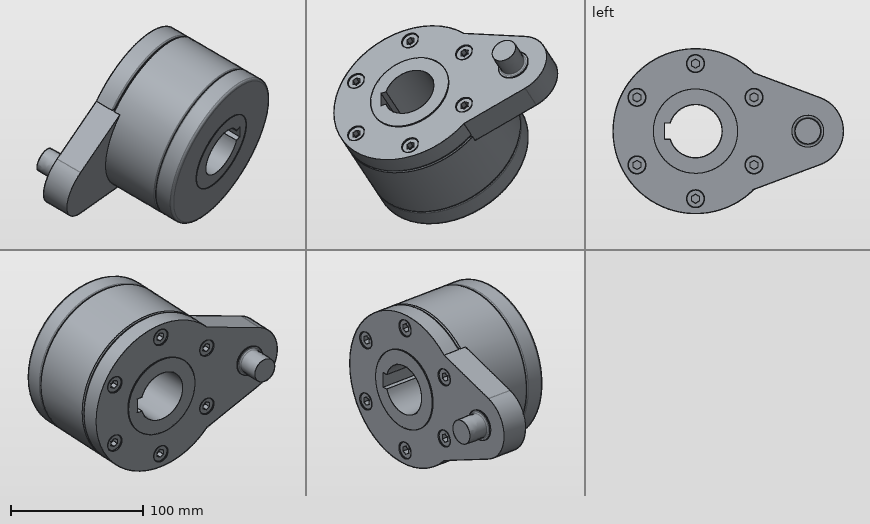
import cadquery as cq
import math


drum_radius = 62.5
drum_length = 84.5
rear_fillet = 2.0

front_groove_center = 15.7
front_groove_edge_radius = 1.31
rear_groove_center = 68.4
rear_groove_edge_radius = 1.0

hub_radius = 32.0
hub_front_height = 1.0
hub_rear_height = 0.5
hub_length = hub_front_height + drum_length + hub_rear_height

bore_radius = 20.0
keyway_width = 12.0
keyway_top = 23.4

overall_width = 174.5
arm_thickness = 22.0
arm_end_radius = 27.0
arm_reach = overall_width - drum_radius - arm_end_radius
arm_flank_angle = math.radians(20.5)

pin_middle_radius = 10.0
pin_end_radius = 9.6
pin_length = 19.0
collar_radius = 12.0
collar_height = 1.0
pin_root_fillet = 0.96

screw_count = 6
screw_circle_radius = 51.1
counterbore_radius = 6.8
counterbore_depth = 8.0
screw_head_radius = 6.5
screw_head_recess = 0.9
hex_across_flats = 6.0
hex_depth = 5.0


def disc(radius, x_start, length, y=0.0, z=0.0):
    """Solid cylinder along +X."""
    plane = cq.Workplane("YZ", origin=(x_start, y, z))
    return plane.circle(radius).extrude(length)


def joint_groove(center, edge_radius):
    """Ring cut where two rounded drum edges meet in a narrow cusp."""
    mid_offset = edge_radius * math.sqrt(0.5)
    root_radius = drum_radius - edge_radius
    return (
        cq.Workplane("XY")
        .moveTo(center - edge_radius, drum_radius)
        .threePointArc(
            (center - edge_radius + mid_offset, root_radius + mid_offset),
            (center, root_radius),
        )
        .threePointArc(
            (center + edge_radius - mid_offset, root_radius + mid_offset),
            (center + edge_radius, drum_radius),
        )
        .close()
        .revolve(360, (0, 0, 0), (1, 0, 0))
    )


def make_drum():
    drum = disc(drum_radius, 0, drum_length).faces(">X").edges().fillet(rear_fillet)
    drum = drum.cut(joint_groove(front_groove_center, front_groove_edge_radius))
    drum = drum.cut(joint_groove(rear_groove_center, rear_groove_edge_radius))
    return drum.union(disc(hub_radius, -hub_front_height, hub_length))


def make_arm():
    """Tapered arm toward -Y; its flanks are tangent to the rounded end."""
    normal_y = -math.sin(arm_flank_angle)
    normal_z = math.cos(arm_flank_angle)
    flank_distance = arm_end_radius + arm_reach * math.sin(arm_flank_angle)
    root_y = flank_distance * normal_y
    root_z = flank_distance * normal_z
    tangent_y = -arm_reach + arm_end_radius * normal_y
    tangent_z = arm_end_radius * normal_z
    tip_y = -arm_reach - arm_end_radius
    return (
        cq.Workplane("YZ")
        .moveTo(root_y, root_z)
        .lineTo(tangent_y, tangent_z)
        .threePointArc((tip_y, 0), (tangent_y, -tangent_z))
        .lineTo(root_y, -root_z)
        .close()
        .extrude(arm_thickness)
    )


def make_pin():
    """Crowned pin and collar, turned about the pin axis, with a rounded root."""
    fillet_end_x = -collar_height - pin_root_fillet
    fillet_outer_radius = pin_end_radius + pin_root_fillet
    crown_middle = ((fillet_end_x - pin_length) / 2, pin_middle_radius)
    mid_offset = pin_root_fillet * (1 - math.sqrt(0.5))
    fillet_middle = (-collar_height - mid_offset, pin_end_radius + mid_offset)
    return (
        cq.Workplane("XY", origin=(0, -arm_reach, 0))
        .moveTo(0, 0)
        .lineTo(-pin_length, 0)
        .lineTo(-pin_length, pin_end_radius)
        .threePointArc(crown_middle, (fillet_end_x, pin_end_radius))
        .threePointArc(fillet_middle, (-collar_height, fillet_outer_radius))
        .lineTo(-collar_height, collar_radius)
        .lineTo(0, collar_radius)
        .close()
        .revolve(360, (0, 0, 0), (1, 0, 0))
    )


def make_bore():
    """Through bore with a keyway on the +Y side."""
    start = -hub_front_height
    keyway = (
        cq.Workplane("YZ", origin=(start, keyway_top / 2, 0))
        .rect(keyway_top, keyway_width)
        .extrude(hub_length)
    )
    return disc(bore_radius, start, hub_length).union(keyway)


def make_screw_recess(y, z):
    """Clearance ring around one slightly sunken screw head, plus its hex socket."""
    gap = disc(counterbore_radius, 0, counterbore_depth, y, z)
    gap = gap.cut(disc(screw_head_radius, screw_head_recess, counterbore_depth, y, z))
    corner_diameter = hex_across_flats / math.cos(math.pi / 6)
    socket_plane = cq.Plane(origin=(screw_head_recess, y, z), xDir=(0, 0, 1), normal=(1, 0, 0))
    socket = cq.Workplane(socket_plane).polygon(6, corner_diameter).extrude(hex_depth)
    return gap.union(socket)


result = make_drum().union(make_arm()).union(make_pin()).cut(make_bore())
for index in range(screw_count):
    screw_angle = math.pi / 2 + index * 2 * math.pi / screw_count
    screw_y = screw_circle_radius * math.cos(screw_angle)
    screw_z = screw_circle_radius * math.sin(screw_angle)
    result = result.cut(make_screw_recess(screw_y, screw_z))